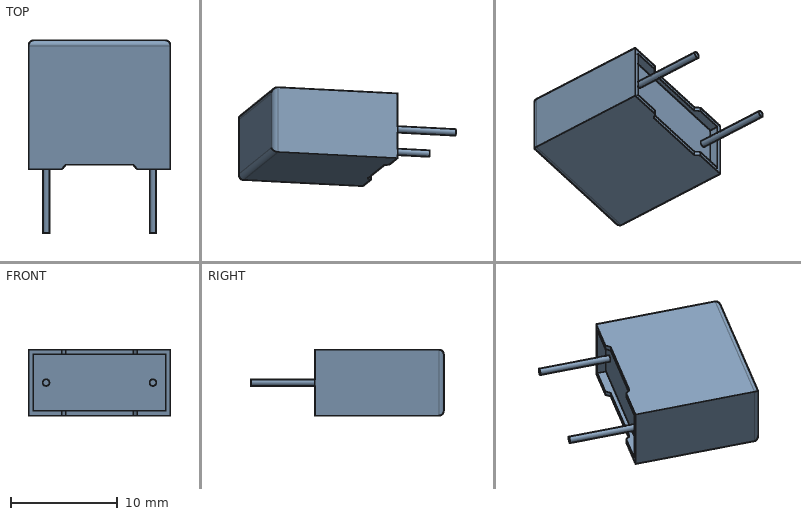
import cadquery as cq

width = 13.3
height = 6.2
total_length = 18.1
lead_length = 6.0
housing_length = total_length - lead_length
wall = 0.45
back_fillet = 0.5

notch_depth = 0.42
notch_mouth = 7.04
notch_floor = 6.32

potting_setback = 0.83

lead_diameter = 0.63
lead_pitch = 10.01

cavity_width = width - 2 * wall
cavity_height = height - 2 * wall
cavity_depth = housing_length - wall
potting_length = cavity_depth - potting_setback


def block_from(start_y, size_x, length, size_z):
    """Box centred on X and Z that runs from start_y toward +Y."""
    return (
        cq.Workplane("XY", origin=(0, start_y, 0))
        .box(size_x, length, size_z, centered=(True, False, True))
    )


def make_rim_notch():
    """Trapezoid cutter that passes through both long walls."""
    return (
        cq.Workplane("XY")
        .moveTo(-notch_mouth / 2, 0)
        .lineTo(-notch_floor / 2, notch_depth)
        .lineTo(notch_floor / 2, notch_depth)
        .lineTo(notch_mouth / 2, 0)
        .close()
        .extrude(height, both=True)
    )


def make_housing():
    """Box with a rounded back, a cavity and notched rims."""
    outer = block_from(0, width, housing_length, height).faces(">Y").edges().fillet(back_fillet)
    cavity = block_from(0, cavity_width, cavity_depth, cavity_height)
    return outer.cut(cavity).cut(make_rim_notch())


def make_potting():
    """Solid fill whose front face carries the leads."""
    return block_from(potting_setback, cavity_width, potting_length, cavity_height)


def make_lead(x):
    """Round wire that runs from the potting face out past the open rim."""
    return (
        cq.Workplane("XZ", origin=(x, potting_setback, 0))
        .circle(lead_diameter / 2)
        .extrude(lead_length + potting_setback)
    )


housing = make_housing()
potting = make_potting()
leads = [make_lead(side * lead_pitch / 2) for side in (-1, 1)]

result = cq.Compound.makeCompound([housing.val(), potting.val(), *[lead.val() for lead in leads]])